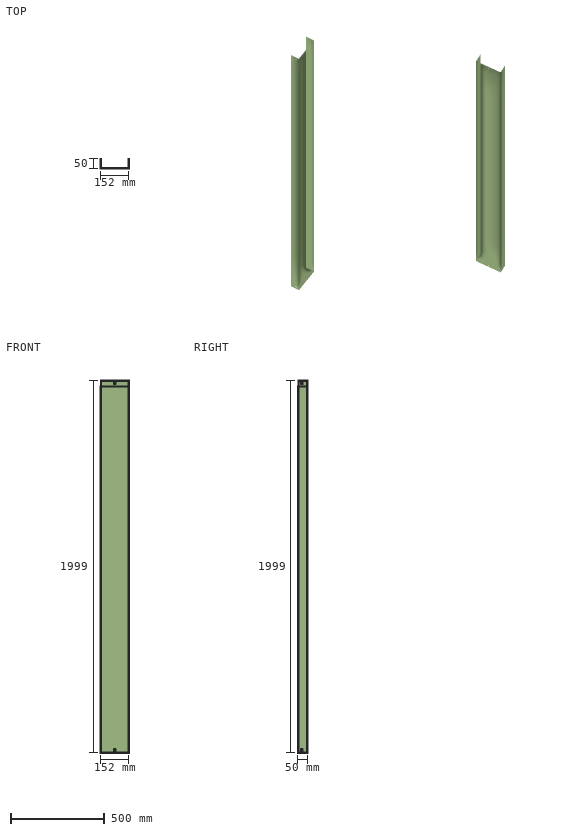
import cadquery as cq

width = 152.0
depth = 50.0
length = 1999.0
sheet = 0.8

overlap_length = 30.0
tongue_length = overlap_length + sheet
body_length = length - tongue_length

hole_diameter = 7.0
hole_end_distance = 15.0
flange_hole_from_front = 20.0

front_y = -depth / 2
back_y = depth / 2


def channel(inset, bottom, top):
    """U-shaped sheet, open at the back, with its outer faces set in by inset."""
    outer_width = width - 2 * inset
    outer_front = front_y + inset
    outer_depth = back_y - outer_front
    height = top - bottom
    block = (
        cq.Workplane("XY", origin=(0, outer_front, bottom))
        .box(outer_width, outer_depth, height, centered=(True, False, False))
    )
    cavity = (
        cq.Workplane("XY", origin=(0, outer_front + sheet, bottom))
        .box(outer_width - 2 * sheet, outer_depth, height, centered=(True, False, False))
    )
    return block.cut(cavity)


def web_hole(z):
    """Cutter along Y through the middle of the web."""
    return (
        cq.Workplane("XZ", origin=(0, back_y, z))
        .circle(hole_diameter / 2)
        .extrude(depth)
    )


def flange_holes(z):
    """Cutter along X through both flanges."""
    return (
        cq.Workplane("YZ", origin=(0, front_y + flange_hole_from_front, z))
        .circle(hole_diameter / 2)
        .extrude(width / 2, both=True)
    )


body = channel(0, 0, body_length)
tongue = channel(sheet, body_length - sheet, length)
result = body.union(tongue)

for hole_z in (hole_end_distance, length - hole_end_distance):
    result = result.cut(web_hole(hole_z)).cut(flange_holes(hole_z))